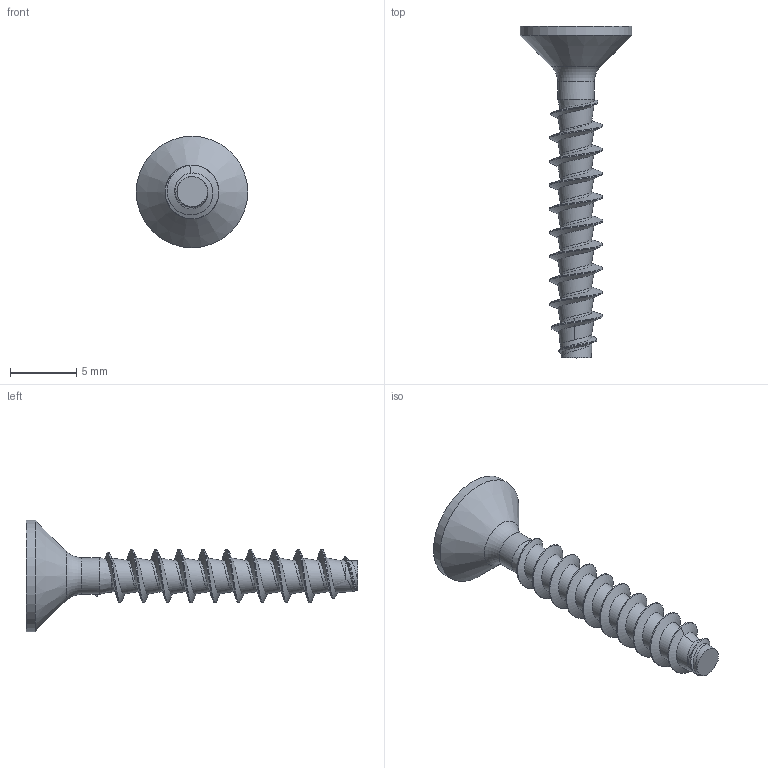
import cadquery as cq
import math


LENGTH = 25.0
HEAD_RADIUS = 4.2
RIM_HEIGHT = 0.7
COUNTERSINK_HALF_ANGLE = 45.0
SHANK_RADIUS = 1.38
NECK_FILLET_RADIUS = 1.6
SHANK_END_DEPTH = 5.52
CORE_START_DEPTH = 6.4
CORE_RADIUS = 1.18
TIP_TAPER_LENGTH = 0.9
TIP_RADIUS = 1.1

PITCH = 1.79
REFERENCE_DEPTH = 23.62
CREST_RADIUS = 2.02
CREST_WIDTH = 0.08
ROOT_WIDTH = 0.64
RIDGE_BASE_RADIUS = 1.0
SWELL_RADIUS = 1.36
TAPER_END_RADIUS = 1.16
TURN_GAP = 0.03

THREAD_START_DEPTH = 5.32
THREAD_START_CREST_RADIUS = 1.55
THREAD_START_ROOT_WIDTH = 0.3
THREAD_FULL_START_DEPTH = 7.11
THREAD_FULL_END_DEPTH = 22.3
THREAD_END_DEPTH = 24.9
THREAD_END_CREST_RADIUS = 1.15
THREAD_END_ROOT_WIDTH = 0.2
THREAD_END_SWELL_RADIUS = 1.05
STRAIGHT_HELIX = 360


def make_blank():
    """Head, neck, shank and plain core, revolved about local Z with the head top at Z = 0."""
    angle = math.radians(COUNTERSINK_HALF_ANGLE)
    fillet_radius = SHANK_RADIUS + NECK_FILLET_RADIUS * (1 - math.cos(angle))
    fillet_depth = RIM_HEIGHT + (HEAD_RADIUS - fillet_radius) / math.tan(angle)
    fillet_end_depth = fillet_depth + NECK_FILLET_RADIUS * math.sin(angle)
    mid_radius = SHANK_RADIUS + NECK_FILLET_RADIUS * (1 - math.cos(angle / 2))
    mid_depth = fillet_end_depth - NECK_FILLET_RADIUS * math.sin(angle / 2)
    return (
        cq.Workplane("XZ")
        .moveTo(0, 0)
        .lineTo(HEAD_RADIUS, 0)
        .lineTo(HEAD_RADIUS, -RIM_HEIGHT)
        .lineTo(fillet_radius, -fillet_depth)
        .threePointArc((mid_radius, -mid_depth), (SHANK_RADIUS, -fillet_end_depth))
        .lineTo(SHANK_RADIUS, -SHANK_END_DEPTH)
        .lineTo(CORE_RADIUS, -CORE_START_DEPTH)
        .lineTo(CORE_RADIUS, -(LENGTH - TIP_TAPER_LENGTH))
        .lineTo(TIP_RADIUS, -LENGTH)
        .lineTo(0, -LENGTH)
        .close()
        .revolve(360, (0, 0), (0, 1))
    )


def ridge_profile(crest_radius, root_width, swell_radius):
    """Closed axial section of the thread as (radius, height) points: the tooth and the swelling below it."""
    taper_end = root_width / 2 + TURN_GAP - PITCH
    return [
        (RIDGE_BASE_RADIUS, root_width / 2),
        (crest_radius, CREST_WIDTH / 2),
        (crest_radius, -CREST_WIDTH / 2),
        (swell_radius, -root_width / 2),
        (TAPER_END_RADIUS, taper_end),
        (RIDGE_BASE_RADIUS, taper_end),
    ]


def thread_angle(depth):
    """Angle in degrees, from +X, at which the right-handed thread passes a depth."""
    return 360 * (REFERENCE_DEPTH - depth) / PITCH


def helix_edge(lower_point, upper_point, lower_depth, upper_depth):
    """Helix leading from a profile point at the lower depth to its counterpart at the upper depth."""
    lower_radius, lower_height = lower_point
    upper_radius, upper_height = upper_point
    rise = lower_depth - upper_depth + upper_height - lower_height
    turns = (lower_depth - upper_depth) / PITCH
    slope = math.atan2(upper_radius - lower_radius, rise)
    length = rise / math.cos(slope)
    cone_angle = math.degrees(slope) or STRAIGHT_HELIX
    helix = cq.Wire.makeHelix(length / turns, length, lower_radius, angle=cone_angle)
    start_angle = thread_angle(lower_depth)
    placed = helix.rotate((0, 0, 0), (0, 0, 1), start_angle).translate((0, 0, lower_height - lower_depth))
    return placed.Edges()[0]


def end_cap(profile, depth):
    """Flat face that closes the ridge at one of its ends."""
    points = [(radius, 0, height - depth) for radius, height in profile]
    outline = cq.Wire.makePolygon([cq.Vector(*point) for point in points], close=True)
    return cq.Face.makeFromWires(outline).rotate((0, 0, 0), (0, 0, 1), thread_angle(depth))


def make_thread():
    """Helical ridge growing out of the shank, running at full height and fading out at the tip."""
    start = ridge_profile(THREAD_START_CREST_RADIUS, THREAD_START_ROOT_WIDTH, SWELL_RADIUS)
    full = ridge_profile(CREST_RADIUS, ROOT_WIDTH, SWELL_RADIUS)
    end = ridge_profile(THREAD_END_CREST_RADIUS, THREAD_END_ROOT_WIDTH, THREAD_END_SWELL_RADIUS)
    stations = [
        (THREAD_END_DEPTH, end),
        (THREAD_FULL_END_DEPTH, full),
        (THREAD_FULL_START_DEPTH, full),
        (THREAD_START_DEPTH, start),
    ]
    faces = [end_cap(end, THREAD_END_DEPTH), end_cap(start, THREAD_START_DEPTH)]
    for (lower_depth, lower), (upper_depth, upper) in zip(stations, stations[1:]):
        helices = [helix_edge(low, up, lower_depth, upper_depth) for low, up in zip(lower, upper)]
        for index, helix in enumerate(helices):
            faces.append(cq.Face.makeRuledSurface(helices[index - 1], helix))
    return cq.Workplane(cq.Solid.makeSolid(cq.Shell.makeShell(faces)))


def make_screw():
    screw = make_blank().union(make_thread())
    beyond_tip = cq.Workplane("XY").workplane(offset=-LENGTH).circle(HEAD_RADIUS).extrude(-PITCH * 2)
    return screw.cut(beyond_tip)


result = make_screw().rotate((0, 0, 0), (1, 0, 0), -90)